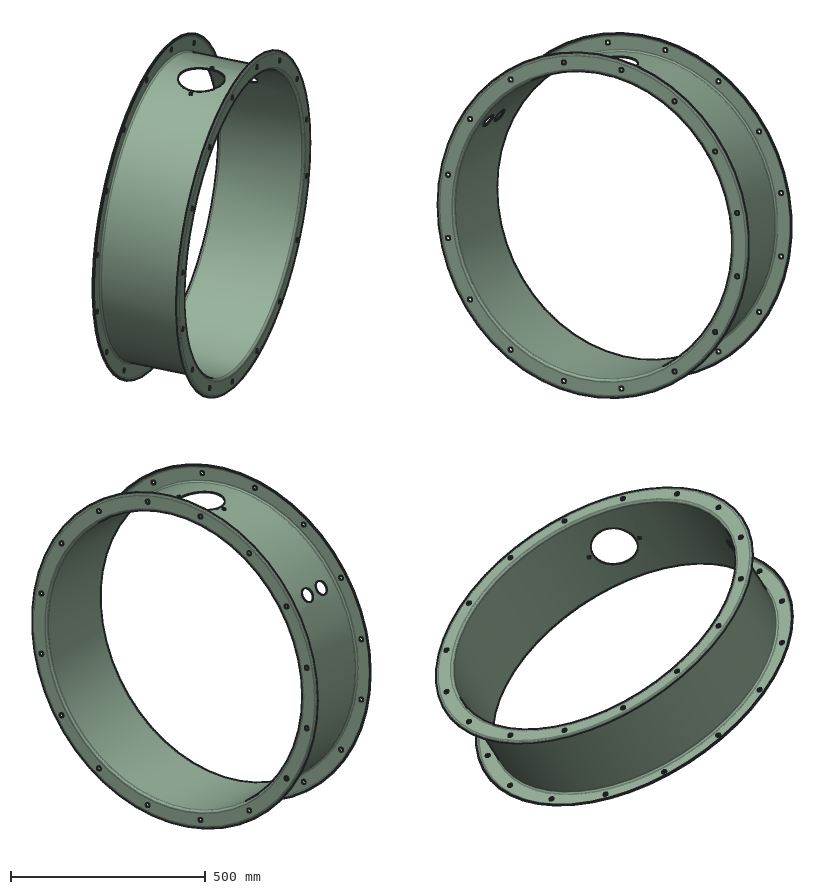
import cadquery as cq
import math

outer_diameter = 910.0
width = 240.0

sheet = 3.0
inner_bend = 4.0
outer_bend = inner_bend + sheet

bore_diameter = 808.0
lip_angle = 45
lip_length = 4.1

bolt_count = 16
bolt_circle_diameter = 860.0
bolt_hole_diameter = 12.0
bolt_pitch_angle = 360 / bolt_count
first_bolt_angle = bolt_pitch_angle / 2

port_diameter = 120.0
screw_offset = 72.0
screw_hole_diameter = 8.0

side_hole_diameter = 38.0
side_hole_angle = first_bolt_angle + 2 * bolt_pitch_angle
side_hole_spacing = 60.0

outer_radius = outer_diameter / 2
half_width = width / 2

bend_x = half_width - outer_bend
shell_bend_radius = bore_diameter / 2 + outer_bend
lip_slope = math.radians(lip_angle)
rim_bend_radius = outer_radius - outer_bend * math.sin(lip_slope) - lip_length * math.cos(lip_slope)


def on_bend(center_radius, bend, angle):
    """Point on a bend, with the angle in radians from the end of the part toward the rim."""
    return (bend_x + bend * math.cos(angle), center_radius + bend * math.sin(angle))


def sheet_points(bend):
    """Points of one sheet surface from mid-width to the lip end; bend is its bend radius."""
    lip_start = on_bend(rim_bend_radius, bend, lip_slope)
    return {
        "middle": (0, shell_bend_radius - bend),
        "shell_end": on_bend(shell_bend_radius, bend, -math.pi / 2),
        "shell_bend": on_bend(shell_bend_radius, bend, -math.pi / 4),
        "flange_start": on_bend(shell_bend_radius, bend, 0),
        "flange_end": on_bend(rim_bend_radius, bend, 0),
        "rim_bend": on_bend(rim_bend_radius, bend, lip_slope / 2),
        "lip_start": lip_start,
        "lip_end": (
            lip_start[0] - lip_length * math.sin(lip_slope),
            lip_start[1] + lip_length * math.cos(lip_slope),
        ),
    }


def flanged_shell():
    """Bent sheet section revolved around the X axis, mirrored to the other end."""
    outside = sheet_points(outer_bend)
    inside = sheet_points(inner_bend)
    half = (
        cq.Workplane("XY")
        .moveTo(*outside["middle"])
        .lineTo(*outside["shell_end"])
        .threePointArc(outside["shell_bend"], outside["flange_start"])
        .lineTo(*outside["flange_end"])
        .threePointArc(outside["rim_bend"], outside["lip_start"])
        .lineTo(*outside["lip_end"])
        .lineTo(*inside["lip_end"])
        .lineTo(*inside["lip_start"])
        .threePointArc(inside["rim_bend"], inside["flange_end"])
        .lineTo(*inside["flange_start"])
        .threePointArc(inside["shell_bend"], inside["shell_end"])
        .lineTo(*inside["middle"])
        .close()
        .revolve(360, (0, 0, 0), (1, 0, 0))
    )
    return half.union(half.mirror("YZ"))


def bolt_holes():
    """Cutter for the bolt holes of both flanges; +Y and +Z fall midway between holes."""
    return (
        cq.Workplane("YZ")
        .polarArray(bolt_circle_diameter / 2, first_bolt_angle, 360, bolt_count)
        .circle(bolt_hole_diameter / 2)
        .extrude(half_width, both=True)
    )


def upward_hole(diameter, x=0, y=0):
    """Cutter running up from the level of the axis, through the top of the shell."""
    return cq.Workplane("XY").center(x, y).circle(diameter / 2).extrude(outer_radius)


result = flanged_shell().cut(bolt_holes())

result = result.cut(upward_hole(port_diameter))
for side in (-1, 1):
    result = result.cut(upward_hole(screw_hole_diameter, y=side * screw_offset))

for x in (-side_hole_spacing, 0):
    side_hole = upward_hole(side_hole_diameter, x)
    result = result.cut(side_hole.rotate((0, 0, 0), (1, 0, 0), -side_hole_angle))